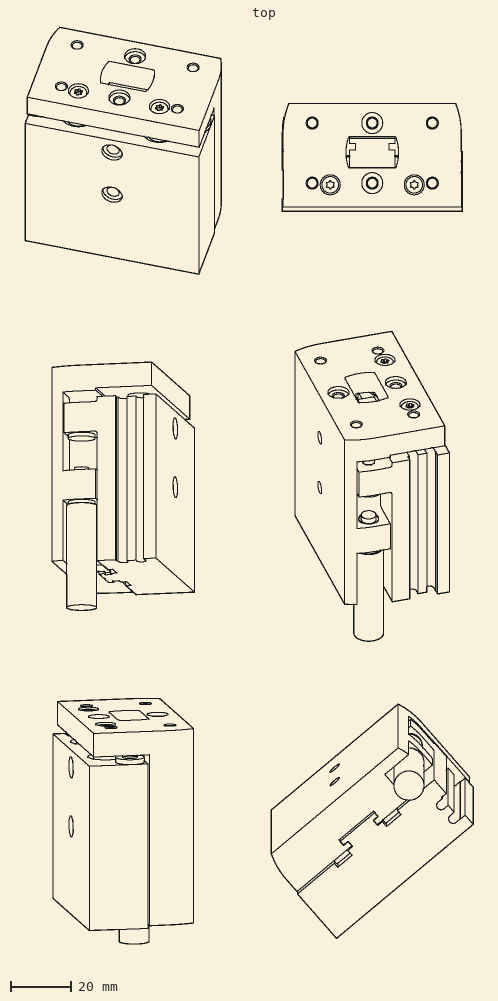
import cadquery as cq
import math


total_height = 81.4
total_depth = 36.0

housing_width = 60.0
housing_depth = 20.0
housing_bottom = 14.65
housing_top = 70.4

slide_width = 59.4
slide_bottom = 15.5
slide_front_y = 1.55
plate_thickness = 8.0
gap_to_housing = 0.6
thick_body_bottom = 72.6
back_wall = 4.0

side_arc_start_y = 26.3
side_arc_inset = 1.9

rail_half_width = 7.6
rail_front_y = 14.65
rail_back_y = 24.4
rail_top = 71.9
groove_depth = 2.0
groove_front_y = 20.4
groove_back_y = 22.6
rail_clearance = 0.5

pad_half_width = 13.8
pad_front_y = 18.6
pad_recess_y = 18.2
pad_bottom = 18.1
pad_top = 68.4

window_front_y = 14.4
window_end_half_width = 7.8
window_mid_half_width = 8.8
window_corner_fillet = 0.65

pocket_inner_x = -18.55
pocket_fillet = 1.4
slide_arm_bottom = 35.9
slide_arm_top = 45.9
housing_arm_bottom = 58.7
housing_arm_top = 68.7
housing_arm_back_y = 31.5
housing_arm_inner_x = -19.4
arm_root_fillet = 1.0
bumper_diameter = 9.0
bumper_height = 1.2
arm_hole_diameter = 4.0
arm_hole_depth = 2.45

absorber_x = -24.5
absorber_y = 26.5
absorber_diameter = 10.0
absorber_collar_diameter = 9.0
absorber_neck_diameter = 6.7
absorber_shoulder = 34.75
absorber_neck_top = 45.5
absorber_tip = 47.4
piston_diameter = 5.0

stop_x = 25.15
stop_y = 14.8
stop_head_diameter = 9.6
stop_head_top = 72.0
stop_tip = 72.6
stop_shank_diameter = 8.1
stop_shank_depth = 12.2

rod_x = 14.0
rod_y = 8.9
rod_diameter = 8.1
rod_depth = 16.3
rod_recess_diameter = 12.0
rod_recess_depth = 1.6
screw_shank_diameter = 3.25
screw_head_diameter = 5.5
screw_head_hole_diameter = 6.7
screw_head_bottom = 77.3
screw_head_top = 80.9
screw_head_fillet = 0.4
torx_diameter = 2.8
torx_lobe_diameter = 0.65
torx_lobes = 6
torx_depth = 1.2

hole_pitch = 20.0
grid_front_y = 9.45
thread_diameter = 3.25
thread_mouth_diameter = 4.0
countersink_taper = 45.0
thread_depth = 6.5
sleeve_diameter = 7.0
sleeve_depth = 1.4
through_diameter = 4.15
upper_through_z = 64.55

slot_recess_front_y = 4.15
slot_recess_back_y = 13.8
slot_recess_depth = 2.1
slot_width = 3.0
slot_straight_depth = 1.8
slot_centres_y = (5.8, 11.9)

plate_bottom = total_height - plate_thickness
thick_body_front_y = housing_depth + gap_to_housing
back_wall_y = total_depth - back_wall
channel_back_y = rail_back_y + rail_clearance


def block(x0, x1, y0, y1, z0, z1):
    """Box between two opposite corners."""
    return cq.Workplane("XY").box(x1 - x0, y1 - y0, z1 - z0, centered=False).translate((x0, y0, z0))


def cylinder(x, y, diameter, z0, z1):
    """Upright cylinder between two levels."""
    return cq.Workplane("XY", origin=(x, y, z0)).circle(diameter / 2).extrude(z1 - z0)


def curved_envelope(width):
    """Full-size block whose sides curve inwards towards the back, tangent to the straight part."""
    half = width / 2
    arc_length_y = total_depth - side_arc_start_y
    arc_radius = (arc_length_y**2 + side_arc_inset**2) / (2 * side_arc_inset)
    half_angle = math.asin(arc_length_y / arc_radius) / 2
    arc_middle_x = half - arc_radius * (1 - math.cos(half_angle))
    arc_middle_y = side_arc_start_y + arc_radius * math.sin(half_angle)
    back_half = half - side_arc_inset
    return (
        cq.Workplane("XY")
        .moveTo(-half, 0)
        .lineTo(half, 0)
        .lineTo(half, side_arc_start_y)
        .threePointArc((arc_middle_x, arc_middle_y), (back_half, total_depth))
        .lineTo(-back_half, total_depth)
        .threePointArc((-arc_middle_x, arc_middle_y), (-half, side_arc_start_y))
        .close()
        .extrude(total_height)
    )


def rail_section(back_y, z0, z1):
    """Guide rail with a rectangular ball groove on each side."""
    rail = block(-rail_half_width, rail_half_width, rail_front_y, back_y, z0, z1)
    groove_floor = rail_half_width - groove_depth
    for x0, x1 in ((-rail_half_width, -groove_floor), (groove_floor, rail_half_width)):
        rail = rail.cut(block(x0, x1, groove_front_y, groove_back_y, z0, z1))
    return rail


def bores_from_front(diameter, depth):
    """Upper and lower bore along Y, starting at the housing front."""
    return (
        cq.Workplane("XZ")
        .pushPoints([(0, upper_through_z), (0, upper_through_z - hole_pitch)])
        .circle(diameter / 2)
        .extrude(-depth)
    )


def sensor_slots():
    """Shallow side recess with two round-bottomed slots in its floor."""
    side_x = -housing_width / 2
    floor_x = side_x + slot_recess_depth
    slot_end_x = floor_x + slot_straight_depth
    slots = block(side_x, floor_x, slot_recess_front_y, slot_recess_back_y, housing_bottom, housing_top)
    for y in slot_centres_y:
        straight = block(
            floor_x, slot_end_x, y - slot_width / 2, y + slot_width / 2, housing_bottom, housing_top
        )
        round_bottom = cylinder(slot_end_x, y, slot_width, housing_bottom, housing_top)
        slots = slots.union(straight).union(round_bottom)
    return slots


def housing_arm():
    """Stop arm in the slide pocket: rounded roots, a bumper underneath and a blind hole on top."""
    side_x = -housing_width / 2
    root_y = housing_depth + arm_root_fillet
    arm = (
        cq.Workplane("YZ", origin=(side_x, 0, 0))
        .moveTo(housing_depth, housing_arm_bottom - arm_root_fillet)
        .radiusArc((root_y, housing_arm_bottom), arm_root_fillet)
        .lineTo(housing_arm_back_y, housing_arm_bottom)
        .lineTo(housing_arm_back_y, housing_arm_top)
        .lineTo(root_y, housing_arm_top)
        .radiusArc((housing_depth, housing_arm_top + arm_root_fillet), arm_root_fillet)
        .close()
        .extrude(housing_arm_inner_x - side_x)
        .intersect(curved_envelope(housing_width))
    )
    bumper = cylinder(
        absorber_x, absorber_y, bumper_diameter, housing_arm_bottom - bumper_height, housing_arm_bottom
    )
    hole = cylinder(
        absorber_x, absorber_y, arm_hole_diameter, housing_arm_top - arm_hole_depth, housing_arm_top
    )
    return arm.union(bumper).cut(hole)


def make_housing():
    half = housing_width / 2
    body = block(-half, half, 0, housing_depth, housing_bottom, housing_top)
    body = body.cut(
        block(-pad_half_width, pad_half_width, pad_recess_y, housing_depth, housing_bottom, housing_top)
    )
    body = body.union(rail_section(rail_back_y, housing_bottom, rail_top))
    body = body.union(housing_arm())
    body = body.cut(sensor_slots())
    for x in (-rod_x, rod_x):
        body = body.cut(cylinder(x, rod_y, rod_diameter, housing_top - rod_depth, housing_top))
        body = body.cut(
            cylinder(x, rod_y, rod_recess_diameter, housing_top - rod_recess_depth, housing_top)
        )
    body = body.cut(
        cylinder(stop_x, stop_y, stop_shank_diameter, housing_top - stop_shank_depth, housing_top)
    )
    body = body.cut(bores_from_front(sleeve_diameter, sleeve_depth))
    return body.cut(bores_from_front(through_diameter, total_depth))


def yoke_window():
    """Window with bowed sides that opens the yoke down to the carriage pad."""
    middle_y = (window_front_y + channel_back_y) / 2
    return (
        cq.Workplane("XY", origin=(0, 0, pad_top))
        .moveTo(-window_end_half_width, window_front_y)
        .lineTo(window_end_half_width, window_front_y)
        .threePointArc((window_mid_half_width, middle_y), (window_end_half_width, channel_back_y))
        .lineTo(-window_end_half_width, channel_back_y)
        .threePointArc((-window_mid_half_width, middle_y), (-window_end_half_width, window_front_y))
        .close()
        .extrude(total_height - pad_top)
        .edges("|Z")
        .fillet(window_corner_fillet)
    )


def side_pockets():
    """Pockets above and below the slide arm, with rounded inner edges."""
    outer_x = -housing_width / 2
    upper = block(outer_x, pocket_inner_x, 0, back_wall_y, slide_arm_top, thick_body_bottom)
    upper = upper.edges("|Y and >X").fillet(pocket_fillet)
    lower = block(outer_x, pocket_inner_x, 0, back_wall_y, slide_bottom, slide_arm_bottom)
    lower = lower.edges("|Y and >X and >Z").fillet(pocket_fillet)
    return upper.union(lower)


def threaded_hole(x, y, mouth_z):
    """Blind hole with a countersunk mouth at the given level."""
    countersink_depth = (thread_mouth_diameter - thread_diameter) / 2
    countersink = (
        cq.Workplane("XY", origin=(x, y, mouth_z))
        .circle(thread_mouth_diameter / 2)
        .extrude(-countersink_depth, taper=countersink_taper)
    )
    return cylinder(x, y, thread_diameter, total_height - thread_depth, mouth_z).union(countersink)


def make_slide():
    half = slide_width / 2
    body = block(-half, half, slide_front_y, total_depth, plate_bottom, total_height)
    body = body.union(block(-half, half, thick_body_front_y, total_depth, slide_bottom, total_height))
    body = body.intersect(curved_envelope(slide_width))
    body = body.cut(side_pockets())
    pad = block(-pad_half_width, pad_half_width, pad_front_y, thick_body_front_y, pad_bottom, pad_top)
    body = body.union(pad)
    body = body.cut(rail_section(channel_back_y, slide_bottom, pad_top))
    body = body.cut(yoke_window())
    body = body.cut(cylinder(absorber_x, absorber_y, absorber_neck_diameter, slide_arm_bottom, slide_arm_top))
    for y in (grid_front_y, grid_front_y + hole_pitch):
        for x in (-hole_pitch, hole_pitch):
            body = body.cut(threaded_hole(x, y, total_height))
        body = body.cut(cylinder(0, y, sleeve_diameter, total_height - sleeve_depth, total_height))
        body = body.cut(threaded_hole(0, y, total_height - sleeve_depth))
    for x in (-rod_x, rod_x):
        body = body.cut(cylinder(x, rod_y, screw_shank_diameter, plate_bottom, screw_head_bottom))
        body = body.cut(cylinder(x, rod_y, screw_head_hole_diameter, screw_head_bottom, total_height))
    return body.cut(bores_from_front(through_diameter, total_depth))


def torx_socket(x, y):
    """Six-lobed drive recess."""
    lobe_circle_radius = (torx_diameter - torx_lobe_diameter) / 2
    socket = cylinder(x, y, 2 * lobe_circle_radius, screw_head_top - torx_depth, screw_head_top)
    for lobe in range(torx_lobes):
        angle = 2 * math.pi * (lobe + 0.5) / torx_lobes
        lobe_x = x + lobe_circle_radius * math.cos(angle)
        lobe_y = y + lobe_circle_radius * math.sin(angle)
        socket = socket.union(
            cylinder(lobe_x, lobe_y, torx_lobe_diameter, screw_head_top - torx_depth, screw_head_top)
        )
    return socket


def make_piston_rod(x):
    """Rod bearing against the plate, with a screw end that holds the plate."""
    rod = cylinder(x, rod_y, rod_diameter, housing_top - rod_depth, plate_bottom)
    rod = rod.union(cylinder(x, rod_y, screw_shank_diameter, plate_bottom, screw_head_bottom))
    head = cylinder(x, rod_y, screw_head_diameter, screw_head_bottom, screw_head_top)
    rod = rod.union(head.faces(">Z").edges().fillet(screw_head_fillet))
    return rod.cut(torx_socket(x, rod_y))


def make_shock_absorber():
    body = cylinder(absorber_x, absorber_y, absorber_diameter, 0, absorber_shoulder)
    collar = cylinder(absorber_x, absorber_y, absorber_collar_diameter, absorber_shoulder, slide_arm_bottom)
    neck = cylinder(absorber_x, absorber_y, absorber_neck_diameter, slide_arm_bottom, absorber_neck_top)
    piston = cylinder(absorber_x, absorber_y, piston_diameter, absorber_neck_top, absorber_tip)
    return body.union(collar).union(neck).union(piston)


def make_end_stop():
    shank = cylinder(stop_x, stop_y, stop_shank_diameter, housing_top - stop_shank_depth, housing_top)
    head = cylinder(stop_x, stop_y, stop_head_diameter, housing_top, stop_head_top)
    tip = cylinder(stop_x, stop_y, piston_diameter, stop_head_top, stop_tip)
    return shank.union(head).union(tip)


housing = make_housing()
slide = make_slide()
piston_rods = [make_piston_rod(x) for x in (-rod_x, rod_x)]
shock_absorber = make_shock_absorber()
end_stop = make_end_stop()

bodies = [housing, slide, *piston_rods, shock_absorber, end_stop]
result = cq.Compound.makeCompound([body.solids().val() for body in bodies])